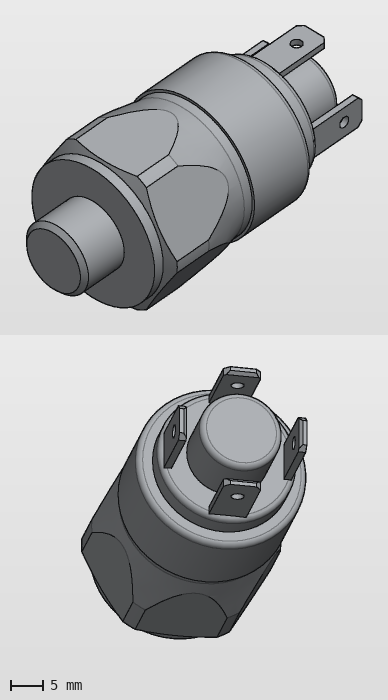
import cadquery as cq
import math

hex_collar_start = 8.95
hex_start = 10.9
neck_start = 29.25
sleeve_start = 31.05
sleeve_end = 44.0
cap_end = 48.0
post_end = 57.7
tab_end = 59.0

spigot_radius = 13.15 / 2
spigot_chamfer = 0.9
collar_radius = 26.0 / 2
sleeve_radius = 27.0 / 2
cap_radius = 22.0 / 2
post_radius = 13.0 / 2
edge_fillet = 0.95

across_flats = 2 * sleeve_radius
hex_corner_radius = 30.0 / 2
hex_corner_start = 12.0
hex_corner_end = 19.1

tab_count = 4
tab_width = 5.9
tab_thickness = 1.2
tab_outer_offset = 10.1
tab_corner = 0.9
tab_inner_bevel = 0.55
tab_hole_diameter = 2.0
tab_hole_station = 55.0
tab_root_depth = 0.6


def cylinder(radius, start, end):
    """Solid cylinder on the Y axis between two stations."""
    return cq.Workplane("XZ", origin=(0, start, 0)).circle(radius).extrude(start - end)


def make_hex_body():
    """Hexagonal prism trimmed by a turned envelope, so its corners blend into cones."""
    envelope = (
        cq.Workplane("XY")
        .moveTo(0, hex_start)
        .lineTo(collar_radius, hex_start)
        .lineTo(hex_corner_radius, hex_corner_start)
        .lineTo(hex_corner_radius, hex_corner_end)
        .lineTo(collar_radius, neck_start)
        .lineTo(0, neck_start)
        .close()
        .revolve(360, (0, 0, 0), (0, 1, 0))
    )
    across_corners = across_flats / math.cos(math.pi / 6)
    prism = (
        cq.Workplane("XZ", origin=(0, hex_start, 0))
        .polygon(6, across_corners)
        .extrude(hex_start - neck_start)
    )
    return envelope.intersect(prism)


def make_tab():
    """Flat contact tab on the +Z side, with clipped corners, a beveled inner end and a hole."""
    tab_start = cap_end - tab_root_depth
    blade = (
        cq.Workplane("XY", origin=(0, 0, tab_outer_offset - tab_thickness))
        .center(0, (tab_start + tab_end) / 2)
        .rect(tab_width, tab_end - tab_start)
        .extrude(tab_thickness)
        .edges("|Z and >Y")
        .chamfer(tab_corner)
        .faces("<Z")
        .edges(">Y")
        .chamfer(tab_inner_bevel)
    )
    hole = (
        cq.Workplane("XY", origin=(0, tab_hole_station, tab_outer_offset - tab_thickness))
        .circle(tab_hole_diameter / 2)
        .extrude(tab_thickness)
    )
    return blade.cut(hole)


spigot = cylinder(spigot_radius, 0, hex_collar_start).faces("<Y").chamfer(spigot_chamfer)
collar = cylinder(collar_radius, hex_collar_start, hex_start)
neck = cylinder(collar_radius, neck_start, sleeve_start)
sleeve = cylinder(sleeve_radius, sleeve_start, sleeve_end).faces(">Y").edges().fillet(edge_fillet)
cap = cylinder(cap_radius, sleeve_end, cap_end).faces(">Y").edges().fillet(edge_fillet)
post = cylinder(post_radius, cap_end, post_end).faces(">Y").edges().fillet(edge_fillet)

result = spigot
for section in (collar, make_hex_body(), neck, sleeve, cap, post):
    result = result.union(section)

for index in range(tab_count):
    angle = index * 360 / tab_count
    result = result.union(make_tab().rotate((0, 0, 0), (0, 1, 0), angle))